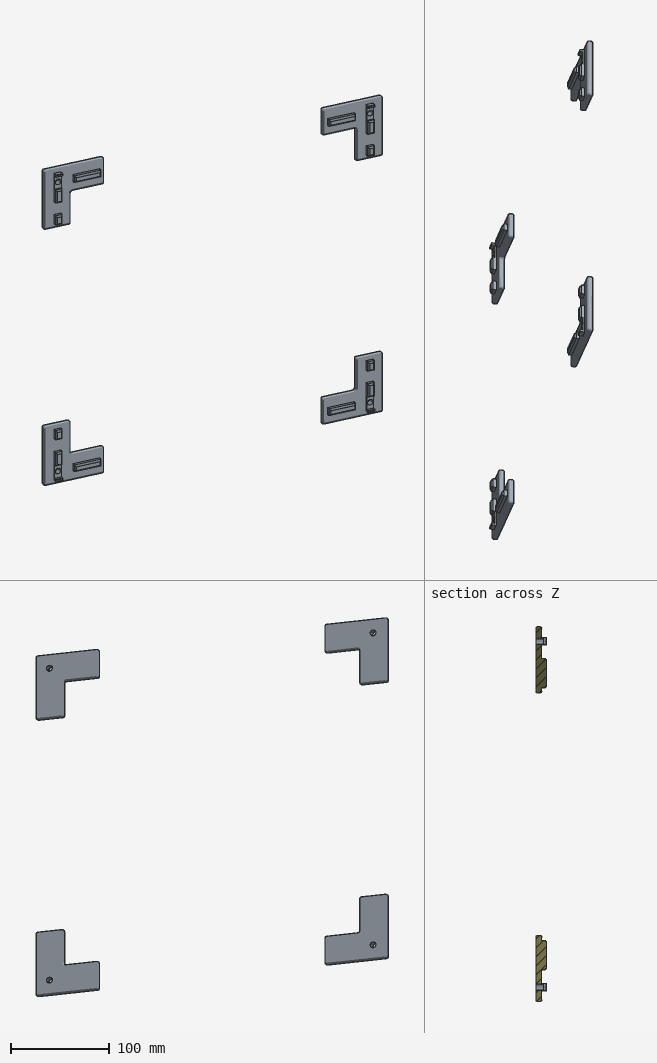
import cadquery as cq

span_y = 380.0
span_z = 360.0
depth_x = 11.0

leg_length = 67.5
leg_width = 30.0
plate_thickness = 6.0
edge_radius = 2.1
hole_diameter = 6.0
hole_offset = leg_width / 2

back_height = depth_x - plate_thickness
pad_bevel = 1.7
long_pad_length = 30.0
long_pad_width = 7.5
long_pad_start = 32.3
upright_pad_width = 7.5
middle_pad_start = 22.5
middle_pad_length = 15.2
end_pad_start = 52.0
end_pad_length = 10.5
tab_start = 5.0
tab_thickness = 2.5
tab_bevel = 0.57
strip_height = 1.5


def back_block(start_y, length_y, start_z, length_z, height):
    """Rectangular block standing on the back face of the plate."""
    return cq.Workplane("XY").box(height, length_y, length_z, centered=False).translate(
        (plate_thickness, start_y, start_z)
    )


def bevelled_pad(start_y, length_y, start_z, length_z):
    """Full-height pad with a bevel around its free face."""
    pad = back_block(start_y, length_y, start_z, length_z, back_height)
    return pad.faces(">X").chamfer(pad_bevel)


def bevelled_tab(start_y, length_y):
    """Thin full-height tab with a bevel along the two long edges of its tip."""
    tab = back_block(start_y, length_y, tab_start, tab_thickness, back_height)
    return tab.faces(">X").edges("|Y").chamfer(tab_bevel)


def rounded_plate():
    """L-shaped plate with every edge rounded."""
    outline = [
        (0, 0),
        (leg_length, 0),
        (leg_length, leg_width),
        (leg_width, leg_width),
        (leg_width, leg_length),
        (0, leg_length),
    ]
    plate = cq.Workplane("YZ").polyline(outline).close().extrude(plate_thickness)
    return plate.edges().fillet(edge_radius)


def corner_guard():
    """One guard: plate, back features and the screw hole."""
    upright_start = hole_offset - upright_pad_width / 2
    long_pad_low = hole_offset - long_pad_width / 2
    strip_length = middle_pad_start - tab_start

    guard = rounded_plate()

    guard = guard.union(bevelled_pad(long_pad_start, long_pad_length, long_pad_low, long_pad_width))
    guard = guard.union(bevelled_pad(upright_start, upright_pad_width, middle_pad_start, middle_pad_length))
    guard = guard.union(bevelled_pad(upright_start, upright_pad_width, end_pad_start, end_pad_length))

    guard = guard.union(bevelled_tab(upright_start, upright_pad_width))
    guard = guard.union(back_block(upright_start, upright_pad_width, tab_start, strip_length, strip_height))

    hole = (
        cq.Workplane("YZ")
        .center(hole_offset, hole_offset)
        .circle(hole_diameter / 2)
        .extrude(depth_x)
    )
    return guard.cut(hole)


first_guard = corner_guard().translate((0, -span_y / 2, -span_z / 2))
guards = []
for lower_guard in (first_guard, first_guard.mirror("XZ")):
    upper_guard = lower_guard.mirror("XY")
    guards.append(lower_guard.solids().val())
    guards.append(upper_guard.solids().val())

result = cq.Compound.makeCompound(guards)